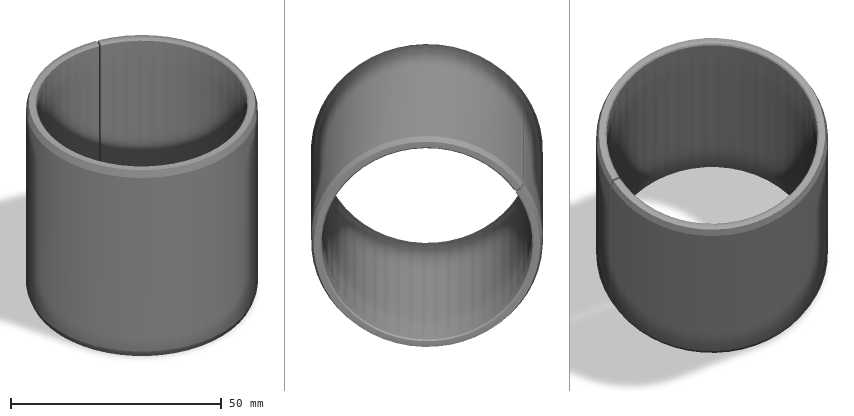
import cadquery as cq
import math

length = 55.0
outer_diameter = 55.0
wall = 2.5
outer_chamfer_length = 1.8
outer_chamfer_angle = 20.0
inner_chamfer = 0.35
slit_width = 0.5

outer_radius = outer_diameter / 2
inner_radius = outer_radius - wall
outer_chamfer_depth = outer_chamfer_length * math.tan(math.radians(outer_chamfer_angle))


def bush_body():
    """Revolve the wall section, chamfered inside and outside at both ends."""
    section = [
        (inner_radius + inner_chamfer, 0),
        (outer_radius - outer_chamfer_depth, 0),
        (outer_radius, outer_chamfer_length),
        (outer_radius, length - outer_chamfer_length),
        (outer_radius - outer_chamfer_depth, length),
        (inner_radius + inner_chamfer, length),
        (inner_radius, length - inner_chamfer),
        (inner_radius, inner_chamfer),
    ]
    return cq.Workplane("XZ").polyline(section).close().revolve(360, (0, 0), (0, 1))


def slit_cutter():
    """Full-length butt joint on the -X side, with one face on the XZ plane."""
    return cq.Workplane("XY").box(
        outer_radius, slit_width, length, centered=False
    ).translate((-outer_radius, 0, 0))


result = bush_body().cut(slit_cutter())